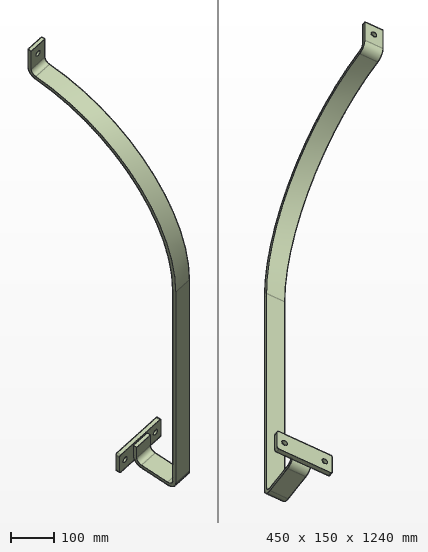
import cadquery as cq
import math

total_height = 1240.0
total_depth = 450.0
strap_width = 50.0
strap_thickness = 10.0

inner_bend_radius = 15.0
outer_bend_radius = inner_bend_radius + strap_thickness

arc_outer_radius = total_depth
arc_inner_radius = arc_outer_radius - strap_thickness
arc_center_z = 710.0

lower_tab_x = 321.0
lower_tab_top = 63.0
leg_slope = math.radians(0.5)

plate_width = 150.0
plate_height = 62.0
plate_thickness = 11.0
plate_bottom = 7.0
plate_corner_radius = 5.0

hole_diameter = 15.0
plate_hole_spacing = 109.0
upper_hole_drop = 30.0


def arc_height(radius, x):
    """Z of a circle about the large arc's centre at the given X."""
    return arc_center_z + math.sqrt(radius**2 - x**2)


def leg_height(bend_radius, x):
    """Z of the sloping leg face that is tangent to the lower bend of this radius."""
    bend_x = total_depth - outer_bend_radius
    bend_z = outer_bend_radius
    return bend_z - (bend_radius + math.sin(leg_slope) * (x - bend_x)) / math.cos(leg_slope)


def round_bend(body, inner_corner, outer_corner):
    """Round both corners of one bend, given as (x, z) points."""
    for (x, z), radius in ((inner_corner, inner_bend_radius), (outer_corner, outer_bend_radius)):
        edge = body.edges(cq.selectors.NearestToPointSelector((x, 0, z)))
        body = edge.fillet(radius)
    return body


def hole_cutter(y, z):
    """Cylinder along X that passes right through the assembly."""
    return (
        cq.Workplane("YZ")
        .center(y, z)
        .circle(hole_diameter / 2)
        .extrude(total_depth)
    )


def make_strap():
    upright_inner_x = total_depth - strap_thickness
    tab_inner_x = lower_tab_x + strap_thickness
    diagonal = math.sqrt(0.5)

    upper_inner = (strap_thickness, arc_height(arc_outer_radius, strap_thickness))
    upper_outer = (0, arc_height(arc_inner_radius, 0))
    lower_inner = (upright_inner_x, leg_height(inner_bend_radius, upright_inner_x))
    lower_outer = (total_depth, leg_height(outer_bend_radius, total_depth))
    tab_inner = (tab_inner_x, leg_height(inner_bend_radius, tab_inner_x))
    tab_outer = (lower_tab_x, leg_height(outer_bend_radius, lower_tab_x))

    strap = (
        cq.Workplane("XZ")
        .moveTo(0, total_height)
        .lineTo(strap_thickness, total_height)
        .lineTo(*upper_inner)
        .threePointArc(
            (arc_outer_radius * diagonal, arc_center_z + arc_outer_radius * diagonal),
            (total_depth, arc_center_z),
        )
        .lineTo(*lower_outer)
        .lineTo(*tab_outer)
        .lineTo(lower_tab_x, lower_tab_top)
        .lineTo(tab_inner_x, lower_tab_top)
        .lineTo(*tab_inner)
        .lineTo(*lower_inner)
        .lineTo(upright_inner_x, arc_center_z)
        .threePointArc(
            (arc_inner_radius * diagonal, arc_center_z + arc_inner_radius * diagonal),
            upper_outer,
        )
        .close()
        .extrude(strap_width / 2, both=True)
    )
    strap = round_bend(strap, upper_inner, upper_outer)
    strap = round_bend(strap, lower_inner, lower_outer)
    strap = round_bend(strap, tab_inner, tab_outer)

    return strap.cut(hole_cutter(0, total_height - upper_hole_drop))


def make_mounting_plate():
    plate_center_z = plate_bottom + plate_height / 2
    plate = (
        cq.Workplane("YZ", origin=(lower_tab_x - plate_thickness, 0, plate_center_z))
        .rect(plate_width, plate_height)
        .extrude(plate_thickness)
        .edges("|X")
        .fillet(plate_corner_radius)
    )
    for side in (-1, 1):
        plate = plate.cut(hole_cutter(side * plate_hole_spacing / 2, plate_center_z))
    return plate


strap = make_strap()
mounting_plate = make_mounting_plate()

result = cq.Compound.makeCompound([strap.val(), mounting_plate.val()])